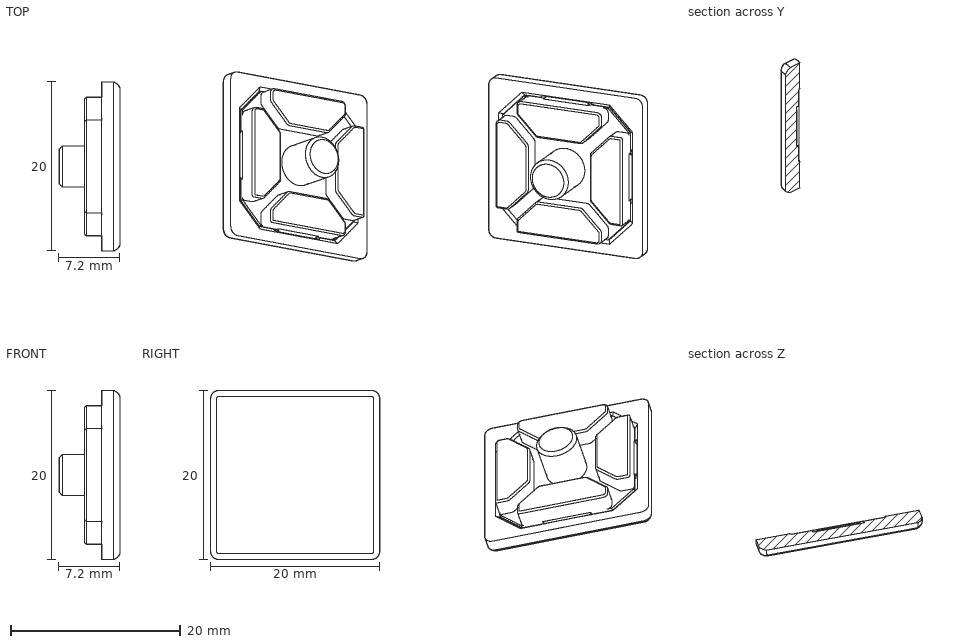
import cadquery as cq
import math


PIN_TIP_X = 0
PAD_FRONT_X = 2.98
PLATE_FRONT_X = 5.02
PLATE_BACK_X = 7.2
POCKET_DEPTH = 0.45
INSERT_RECESS = 0.08
POCKET_FLOOR_X = PLATE_FRONT_X + POCKET_DEPTH
BASE_FRONT_X = PLATE_FRONT_X + INSERT_RECESS

QUARTER_TURNS = (0, 90, 180, 270)

PLATE_SIZE = 20
PLATE_CORNER_RADIUS = 1
BACK_EDGE_DEPTH = 0.75
BACK_EDGE_INSET = 0.72
BACK_EDGE_BULGE = 0.1

INSERT_HALF = 8.2
OCTAGON_HALF_TURN = math.radians(22.5)
PAD_HALF_WIDTH = 5.5
PAD_INNER = 4.02
PAD_INNER_HALF_WIDTH = 2.95
PAD_BEVEL = 0.22
PAD_RADIUS = 0.6
PAD_SMALL_RADIUS = 0.25
ROUNDED_SIDES = {0: (-1, 1), 90: (), 180: (1,), 270: (-1,)}

CLEARANCE = 0.05
TAB_REACH = 0.32
TAB_HALF_WIDTH = 2.95
NOTCH_REACH = TAB_REACH + CLEARANCE
NOTCH_HALF_WIDTH = 3.45

MOUTH_OFFSET = CLEARANCE + POCKET_DEPTH

PIN_DIAMETER = 4.9
PIN_BEVEL = 0.4


def plane_at(x):
    """Sketch plane facing +X, with local axes along Y and Z."""
    return cq.Workplane("YZ", origin=(x, 0, 0))


def octagon(offset):
    """Corner points of the base outline, moved outwards by an offset."""
    far = INSERT_HALF + offset
    near = PAD_HALF_WIDTH + offset * math.tan(OCTAGON_HALF_TURN)
    return [(near, far), (far, near), (far, -near), (near, -far),
            (-near, -far), (-far, -near), (-far, near), (-near, far)]


def turned(body, angle):
    """The body turned about the X axis."""
    return body.rotate((0, 0, 0), (1, 0, 0), angle)


def side_block(reach, half_width, front_x):
    """Trapezoid with 45 degree ends on the +Z side of the base, down to the pocket floor."""
    outline = [(-half_width, INSERT_HALF), (half_width, INSERT_HALF),
               (half_width - reach, INSERT_HALF + reach),
               (-half_width + reach, INSERT_HALF + reach)]
    return plane_at(front_x).polyline(outline).close().extrude(POCKET_FLOOR_X - front_x)


def plate_profile(reach):
    """Half section of the plate in the XZ plane, from its middle out to a reach."""
    return (cq.Workplane("XZ").moveTo(PLATE_FRONT_X, 0).lineTo(PLATE_FRONT_X, reach)
            .lineTo(PLATE_BACK_X - BACK_EDGE_DEPTH, reach)
            .sagittaArc((PLATE_BACK_X, reach - BACK_EDGE_INSET), BACK_EDGE_BULGE)
            .lineTo(PLATE_BACK_X, 0).close())


def make_plate_blank():
    """Solid plate: a straight arm to each side and a turned disc at each corner."""
    half = PLATE_SIZE / 2
    corner_place = half - PLATE_CORNER_RADIUS
    arm = plate_profile(half).extrude(corner_place, both=True)
    corner = (plate_profile(PLATE_CORNER_RADIUS).revolve(360, (0, 0), (1, 0))
              .translate((0, corner_place, corner_place)))
    quarter = arm.union(corner)
    blank = quarter
    for angle in QUARTER_TURNS[1:]:
        blank = blank.union(turned(quarter, angle))
    return blank.clean()


def make_plate():
    plate = make_plate_blank()
    pocket = (plane_at(PLATE_FRONT_X).polyline(octagon(MOUTH_OFFSET)).close()
              .workplane(offset=POCKET_DEPTH).polyline(octagon(CLEARANCE)).close().loft(ruled=True))
    plate = plate.cut(pocket)
    notch = side_block(NOTCH_REACH, NOTCH_HALF_WIDTH, PLATE_FRONT_X)
    for angle in QUARTER_TURNS:
        plate = plate.cut(turned(notch, angle))
    return plate


def make_pad(rounded_sides):
    """Pad on the +Z side of the base, with a bevelled front edge."""
    shoulder = PAD_INNER + PAD_HALF_WIDTH - PAD_INNER_HALF_WIDTH
    outline = [(-PAD_HALF_WIDTH, INSERT_HALF), (PAD_HALF_WIDTH, INSERT_HALF),
               (PAD_HALF_WIDTH, shoulder), (PAD_INNER_HALF_WIDTH, PAD_INNER),
               (-PAD_INNER_HALF_WIDTH, PAD_INNER), (-PAD_HALF_WIDTH, shoulder)]
    pad = plane_at(PAD_FRONT_X).polyline(outline).close().extrude(BASE_FRONT_X - PAD_FRONT_X)
    middle = (INSERT_HALF + shoulder) / 2
    inner_edges = cq.selectors.BoxSelector((0, -INSERT_HALF, 0), (PLATE_BACK_X, INSERT_HALF, middle))
    pad = pad.edges("|X").edges(inner_edges).fillet(PAD_RADIUS)
    for side in (-1, 1):
        radius = PAD_RADIUS if side in rounded_sides else PAD_SMALL_RADIUS
        corner = (BASE_FRONT_X, side * PAD_HALF_WIDTH, INSERT_HALF)
        pad = pad.edges("|X").edges(cq.selectors.NearestToPointSelector(corner)).fillet(radius)
    return pad.faces("<X").edges().chamfer(PAD_BEVEL)


def make_tab():
    """Tab on the +Z side, sloping outwards at 45 degrees from the front of the base."""
    tab = side_block(TAB_REACH, TAB_HALF_WIDTH, BASE_FRONT_X)
    slope = (cq.Workplane("XZ", origin=(0, TAB_HALF_WIDTH, 0))
             .moveTo(BASE_FRONT_X, INSERT_HALF)
             .lineTo(BASE_FRONT_X + TAB_REACH, INSERT_HALF + TAB_REACH)
             .lineTo(BASE_FRONT_X, INSERT_HALF + TAB_REACH).close()
             .extrude(2 * TAB_HALF_WIDTH))
    return tab.cut(slope)


def make_insert():
    insert = plane_at(BASE_FRONT_X).polyline(octagon(0)).close().extrude(POCKET_FLOOR_X - BASE_FRONT_X)
    tab = make_tab()
    for angle in QUARTER_TURNS:
        insert = insert.union(turned(make_pad(ROUNDED_SIDES[angle]), angle))
        insert = insert.union(turned(tab, angle))
    pin_hole = plane_at(BASE_FRONT_X).circle(PIN_DIAMETER / 2).extrude(POCKET_FLOOR_X - BASE_FRONT_X)
    return insert.cut(pin_hole)


def make_pin():
    pin = plane_at(PIN_TIP_X).circle(PIN_DIAMETER / 2).extrude(POCKET_FLOOR_X - PIN_TIP_X)
    return pin.faces("<X").edges().chamfer(PIN_BEVEL)


plate = make_plate()
insert = make_insert()
pin = make_pin()

result = cq.Compound.makeCompound([plate.val(), insert.val(), pin.val()])